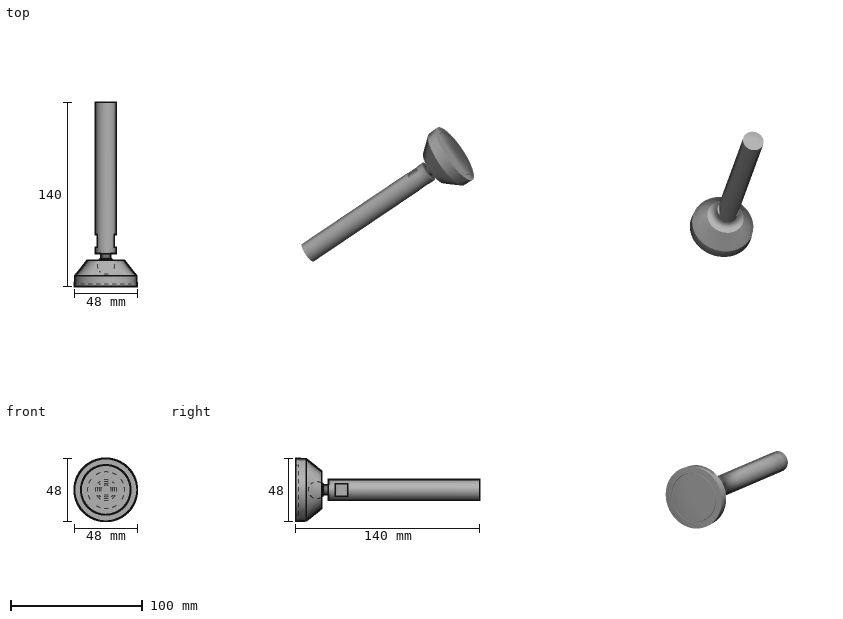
import cadquery as cq

TOTAL_LENGTH = 140.0

FOOT_DIAMETER = 48.0
FOOT_TOP_DIAMETER = 28.0
FOOT_HEIGHT = 20.0
RIM_HEIGHT = 8.0
RIM_TOP_DIAMETER = 47.2

GROOVE_OUTER_DIAMETER = 38.0
GROOVE_INNER_DIAMETER = 37.5
GROOVE_DEPTH = 2.0

ROD_DIAMETER = 16.0
ROD_START = 25.0
NECK_DIAMETER = 7.8
BALL_DIAMETER = 13.0
BALL_CENTRE = 16.0

FLAT_WIDTH_ACROSS = 13.0
FLAT_LENGTH = 9.5
FLAT_START = ROD_START + 5.0


def rod_along_y(diameter, start, end):
    """Cylinder about the Y axis from y = start to y = end."""
    disc = cq.Workplane("XZ", origin=(0, start, 0)).circle(diameter / 2)
    return disc.extrude(start - end)


def ball():
    return cq.Workplane("XZ", origin=(0, BALL_CENTRE, 0)).sphere(BALL_DIAMETER / 2)


def wrench_flat_cutter(side):
    """Block outside one wrench flat; side is +1 or -1 along X."""
    depth = (ROD_DIAMETER - FLAT_WIDTH_ACROSS) / 2
    centre_x = side * (FLAT_WIDTH_ACROSS + depth) / 2
    centre_y = FLAT_START + FLAT_LENGTH / 2
    return cq.Workplane("XY", origin=(centre_x, centre_y, 0)).box(depth, FLAT_LENGTH, ROD_DIAMETER)


def make_foot():
    profile = [
        (0, 0),
        (0, FOOT_DIAMETER / 2),
        (RIM_HEIGHT, RIM_TOP_DIAMETER / 2),
        (FOOT_HEIGHT, FOOT_TOP_DIAMETER / 2),
        (FOOT_HEIGHT, 0),
    ]
    body = cq.Workplane("YZ").polyline(profile).close().revolve(360, (0, 0, 0), (1, 0, 0))
    groove = rod_along_y(GROOVE_OUTER_DIAMETER, 0, GROOVE_DEPTH).cut(
        rod_along_y(GROOVE_INNER_DIAMETER, 0, GROOVE_DEPTH)
    )
    return body.cut(groove).cut(ball())


def make_spindle():
    rod = rod_along_y(ROD_DIAMETER, ROD_START, TOTAL_LENGTH)
    for side in (-1, 1):
        rod = rod.cut(wrench_flat_cutter(side))
    neck = rod_along_y(NECK_DIAMETER, BALL_CENTRE, ROD_START)
    return rod.union(neck).union(ball())


foot = make_foot()
spindle = make_spindle()

result = cq.Compound.makeCompound([foot.val(), spindle.val()])